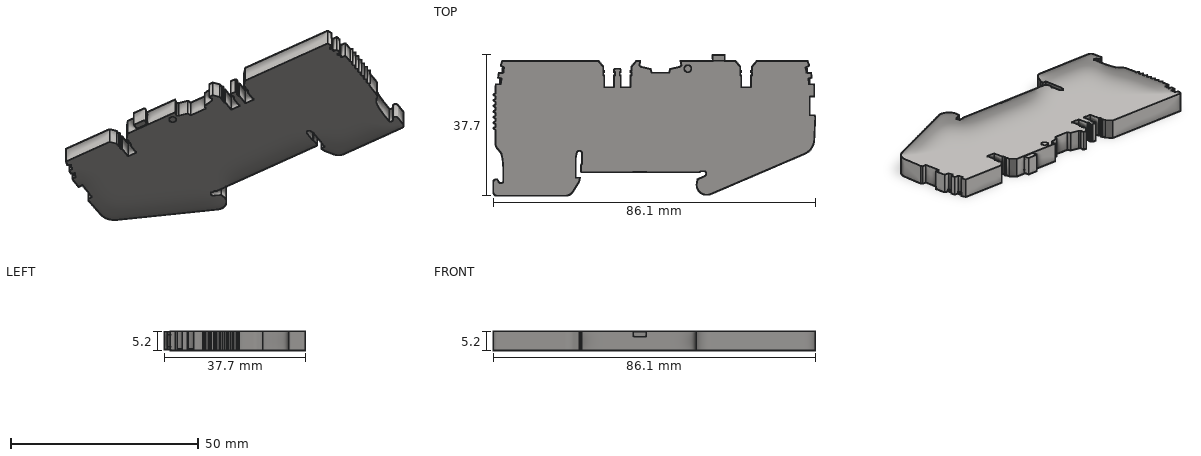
import cadquery as cq
import math


LENGTH = 86.1
THICKNESS = 5.2
TOTAL_WIDTH = 37.7
TOP_Y = 36.1

LEFT_WALL_X = 0.6
END_MIRROR_X = 43.2
RIGHT_WALL_X = 2 * END_MIRROR_X - LEFT_WALL_X
LEDGE_Y = 29.9
UPPER_LEDGE_Y = 32.9
LOWER_UNDERCUT_X = 2.1
UPPER_UNDERCUT_X = 2.75
WALL_BEVEL = 0.1
WALL_BEVEL_Y = 29.2
NUB_Y = 21.1
END_NOTCH_X = 84.6
END_NOTCH_BOTTOM_Y = 21.6
END_NOTCH_TOP_Y = 26.5

TOOTH_COUNT = 7
TOP_TOOTH_Y = 27.0
BOTTOM_TOOTH_Y = 18.1
TOOTH_PITCH = (TOP_TOOTH_Y - BOTTOM_TOOTH_Y) / (TOOTH_COUNT - 1)
TOOTH_HALF_HEIGHT = 0.4

SLOT_FLOOR_Y = 29.1
SLOT_WIDTH = 2.6
SLOT_LEFT_XS = (29.7, 34.1, 66.3)
POST_TOP_Y = 34.0
POST_CORNER = 0.3
SHOULDER_STEP = 0.3
SHOULDER_TOP_Y = 34.5
SHOULDER_BOTTOM_Y = 33.5
MOUTH_RUN = 1.8
SNAP_GROOVE_TOP_Y = 33.1
SNAP_GROOVE_BOTTOM_Y = 32.2

RECESS_CENTRE_X = 44.7
RECESS_FLOOR_Y = 33.0

CLIP_CORNER = 1.0
CLIP_TOP_Y = 4.5
CLIP_TOP_RADIUS = 0.8
WAIST_X = 2.7
TOE_START_X = 19.2
TOE_ARC_END = (21.4, 1.3)
TOE_TIP_X = 23.25
TOE_TOP_Y = 4.9
CLIP_SLOT_LEFT_X = 22.1
CLIP_SLOT_RIGHT_X = 23.7
CLIP_SLOT_END = (23.1, 12.05)
RAIL_Y = 6.3
HOOK_THROAT_START_X = 55.1
HOOK_THROAT_END_X = 56.6
HOOK_THROAT_Y = 6.55
HOOK_RADIUS = 2.75
HOOK_CENTRE = (57.1, 3.0)
RAMP_ANGLE = 23.2
RAMP_END_X = 83.2

LIP_HEIGHT = 0.5
LIP_DEPTH = 0.3
LIP_LENGTH = 1.1
LIP_CORNERS = ((UPPER_UNDERCUT_X, UPPER_LEDGE_Y), (LOWER_UNDERCUT_X, LEDGE_Y))

WINDOW_LEFT_X = 37.45
WINDOW_WIDTH = 3.45
WINDOW_HEIGHT = 1.4
WINDOW_DEPTH = 0.2
WINDOW_CORNER = 0.35
WINDOW_SKIN = 0.1

HANDLE_LEFT_X = 58.55
HANDLE_WIDTH = 3.4
HANDLE_BOTTOM_Z = 0.3
HANDLE_TOP_Z = 5.1
HANDLE_CORNER = 0.3
HANDLE_BOTTOM_Y = TOP_Y
RELIEF_DEPTH = 0.2
RELIEF_TOP_Y = 36.85
NECK_INSET = 0.1
NECK_LEFT_X = HANDLE_LEFT_X + NECK_INSET
NECK_RIGHT_X = HANDLE_LEFT_X + HANDLE_WIDTH - NECK_INSET
ARM_BOTTOM_Z = 1.0
ARM_TOP_Z = 4.2
PIVOT_X = 52.0
PIVOT_Y = 34.0
PIVOT_RADIUS = 0.95


def mirrored(points, axis_x):
    """Mirror a run of points about x = axis_x and reverse its direction."""
    return [(2 * axis_x - x, y) for x, y in reversed(points)]


def left_steps():
    """Stepped left end, from the upper edge down to the wall."""
    return [
        (2.4, TOP_Y), (2.0, 34.8), (2.9, 34.3), (UPPER_UNDERCUT_X, UPPER_LEDGE_Y),
        (1.5, UPPER_LEDGE_Y), (1.3, 31.6), (2.2, 31.3), (LOWER_UNDERCUT_X, LEDGE_Y),
        (LEFT_WALL_X + WALL_BEVEL, LEDGE_Y), (LEFT_WALL_X, WALL_BEVEL_Y),
    ]


def teeth():
    """Row of pointed teeth, from the top one down."""
    points = []
    for i in range(TOOTH_COUNT):
        y = TOP_TOOTH_Y - i * TOOTH_PITCH
        points += [(LEFT_WALL_X, y + TOOTH_HALF_HEIGHT), (0, y), (LEFT_WALL_X, y - TOOTH_HALF_HEIGHT)]
    return points


def snap_groove(wall_x):
    """Snap groove in the wall at the left of a slot, from the top down to the slot floor."""
    groove_x = wall_x - SHOULDER_STEP
    return [
        (wall_x, SNAP_GROOVE_TOP_Y), (groove_x, SNAP_GROOVE_TOP_Y),
        (groove_x, SNAP_GROOVE_BOTTOM_Y), (wall_x, SNAP_GROOVE_BOTTOM_Y), (wall_x, SLOT_FLOOR_Y),
    ]


def mouth(wall_x):
    """Chamfered mouth and snap groove left of a slot, from the upper edge to the slot floor."""
    shoulder_x = wall_x - SHOULDER_STEP
    return [
        (wall_x - MOUTH_RUN + SHOULDER_STEP, TOP_Y), (shoulder_x, SHOULDER_TOP_Y),
        (shoulder_x, SHOULDER_BOTTOM_Y), (wall_x, SHOULDER_BOTTOM_Y),
    ] + snap_groove(wall_x)


def post():
    """Post between the two close slots, from the left slot floor to the right slot floor."""
    left_x = SLOT_LEFT_XS[0] + SLOT_WIDTH
    right_x = SLOT_LEFT_XS[1]
    right_side = [
        (right_x - POST_CORNER, POST_TOP_Y), (right_x, POST_TOP_Y - POST_CORNER),
    ] + snap_groove(right_x)
    return mirrored(right_side, (left_x + right_x) / 2) + right_side


def marker_recess():
    """Undercut recess in the upper edge, from left to right."""
    left = [(39.35, TOP_Y), (39.1, 34.9), (39.5, 34.5), (42.1, 33.9), (42.4, RECESS_FLOOR_Y)]
    return left + mirrored(left, RECESS_CENTRE_X)


def upper_edge():
    """Upper edge from the left steps to the right steps."""
    first, second, third = SLOT_LEFT_XS
    return (
        mouth(first) + post() + mirrored(mouth(second), second + SLOT_WIDTH / 2)
        + marker_recess() + mouth(third) + mirrored(mouth(third), third + SLOT_WIDTH / 2)
    )


def add_clip_foot(outline):
    """Lower edge of the clip foot, its raised toe and the slot behind the toe."""
    outline = outline.lineTo(TOE_START_X, 0).tangentArcPoint(TOE_ARC_END, relative=False)
    outline = outline.lineTo(23.0, 3.8).lineTo(TOE_TIP_X, TOE_TOP_Y).lineTo(CLIP_SLOT_LEFT_X, TOE_TOP_Y)
    outline = outline.lineTo(CLIP_SLOT_LEFT_X, 10.3).lineTo(22.4, 11.5)
    outline = outline.threePointArc(CLIP_SLOT_END, (CLIP_SLOT_RIGHT_X, 11.5))
    outline = outline.lineTo(CLIP_SLOT_RIGHT_X, 8.6).lineTo(23.4, 8.3)
    return outline.lineTo(23.4, 6.55).lineTo(CLIP_SLOT_RIGHT_X, RAIL_Y)


def add_rail_hook(outline):
    """Rail edge, round-nosed hook and the ramp up to the right wall."""
    ramp = math.radians(RAMP_ANGLE)
    hook_x, hook_y = HOOK_CENTRE
    nose_angle = (math.radians(180) + math.radians(270) + ramp) / 2
    nose = (hook_x + HOOK_RADIUS * math.cos(nose_angle), hook_y + HOOK_RADIUS * math.sin(nose_angle))
    ramp_start = (hook_x + HOOK_RADIUS * math.sin(ramp), hook_y - HOOK_RADIUS * math.cos(ramp))
    ramp_end_y = ramp_start[1] + (RAMP_END_X - ramp_start[0]) * math.tan(ramp)

    outline = outline.lineTo(HOOK_THROAT_START_X, RAIL_Y).lineTo(55.45, HOOK_THROAT_Y)
    outline = outline.lineTo(HOOK_THROAT_END_X, HOOK_THROAT_Y)
    outline = outline.threePointArc((56.9, 6.0), (HOOK_THROAT_END_X, 5.3)).lineTo(54.6, 4.5)
    outline = outline.lineTo(hook_x - HOOK_RADIUS, hook_y).threePointArc(nose, ramp_start)
    outline = outline.lineTo(RAMP_END_X, ramp_end_y)

    corner_radius = (RIGHT_WALL_X - RAMP_END_X) / (1 - math.sin(ramp))
    corner_end = (RIGHT_WALL_X, ramp_end_y + corner_radius * math.cos(ramp))
    return outline.tangentArcPoint(corner_end, relative=False)


def add_right_notch(outline):
    """Small nub and the square notch in the right wall."""
    outline = outline.lineTo(LENGTH, NUB_Y).lineTo(RIGHT_WALL_X, END_NOTCH_BOTTOM_Y)
    outline = outline.lineTo(END_NOTCH_X, END_NOTCH_BOTTOM_Y).lineTo(END_NOTCH_X, END_NOTCH_TOP_Y)
    return outline.lineTo(RIGHT_WALL_X, END_NOTCH_TOP_Y)


def add_left_clip(outline):
    """Left wall below the teeth, the waist above the clip foot and the small upturned hook."""
    outline = outline.lineTo(LEFT_WALL_X, 14.1).threePointArc((0.8, 13.2), (1.2, 12.6)).lineTo(2.15, 11.4)
    outline = outline.threePointArc((2.4, 10.2), (2.6, 8.8)).lineTo(WAIST_X, 7.3).lineTo(WAIST_X, 3.8)
    outline = outline.threePointArc((2.1, 3.45), (1.4, 4.05)).lineTo(1.0, CLIP_TOP_Y)
    outline = outline.lineTo(CLIP_TOP_RADIUS, CLIP_TOP_Y)
    outline = outline.tangentArcPoint((0, CLIP_TOP_Y - CLIP_TOP_RADIUS), relative=False)
    outline = outline.lineTo(0, CLIP_CORNER)
    return outline.tangentArcPoint((CLIP_CORNER, 0), relative=False)


def housing_outline():
    """Closed outline, counter-clockwise from the lower left corner."""
    outline = cq.Workplane("XY").moveTo(CLIP_CORNER, 0)
    outline = add_clip_foot(outline)
    outline = add_rail_hook(outline)
    outline = add_right_notch(outline)
    right_steps = mirrored(left_steps(), END_MIRROR_X)
    for point in right_steps + upper_edge()[::-1] + left_steps() + teeth():
        outline = outline.lineTo(*point)
    return add_left_clip(outline).close()


def undercut_lips():
    """Thin lips along the lower face in both undercuts of each stepped end."""
    lips = cq.Workplane("XY")
    for wall_x, ledge_y in LIP_CORNERS:
        for corner_x in (wall_x - LIP_DEPTH, 2 * END_MIRROR_X - wall_x - LIP_DEPTH):
            lips = lips.union(
                cq.Workplane("XY").box(2 * LIP_DEPTH, LIP_LENGTH, LIP_HEIGHT, centered=False)
                .translate((corner_x, ledge_y, 0))
            )
    return lips


def rail_window():
    """Shallow recess in the rail edge, rounded at its lower corners."""
    return (
        cq.Workplane("XY").box(WINDOW_WIDTH, WINDOW_DEPTH, WINDOW_HEIGHT, centered=False)
        .translate((WINDOW_LEFT_X, RAIL_Y, THICKNESS - WINDOW_SKIN - WINDOW_HEIGHT))
        .edges("|Y and <Z").fillet(WINDOW_CORNER)
    )


def build_lever():
    """Lever inside the housing: round pivot, flat arm and a handle outside the upper edge."""
    arm_height = ARM_TOP_Z - ARM_BOTTOM_Z
    arm = (
        cq.Workplane("XY").workplane(offset=ARM_BOTTOM_Z)
        .moveTo(PIVOT_X, PIVOT_Y - PIVOT_RADIUS)
        .lineTo(NECK_RIGHT_X, PIVOT_Y - PIVOT_RADIUS).lineTo(NECK_RIGHT_X, RELIEF_TOP_Y)
        .lineTo(NECK_LEFT_X, RELIEF_TOP_Y).lineTo(NECK_LEFT_X, PIVOT_Y + PIVOT_RADIUS)
        .lineTo(PIVOT_X, PIVOT_Y + PIVOT_RADIUS)
        .threePointArc((PIVOT_X - PIVOT_RADIUS, PIVOT_Y), (PIVOT_X, PIVOT_Y - PIVOT_RADIUS))
        .close().extrude(arm_height)
    )
    pivot = (
        cq.Workplane("XY").workplane(offset=HANDLE_BOTTOM_Z).center(PIVOT_X, PIVOT_Y)
        .circle(PIVOT_RADIUS).extrude(HANDLE_TOP_Z - HANDLE_BOTTOM_Z)
    )
    handle = (
        cq.Workplane("XY")
        .box(HANDLE_WIDTH, TOTAL_WIDTH - HANDLE_BOTTOM_Y, HANDLE_TOP_Z - HANDLE_BOTTOM_Z, centered=False)
        .translate((HANDLE_LEFT_X, HANDLE_BOTTOM_Y, HANDLE_BOTTOM_Z))
        .edges("|Z and <X and >Y").fillet(HANDLE_CORNER)
    )
    relief = (
        cq.Workplane("XY").box(RELIEF_DEPTH, RELIEF_TOP_Y - HANDLE_BOTTOM_Y, THICKNESS, centered=False)
        .translate((HANDLE_LEFT_X, HANDLE_BOTTOM_Y, 0))
    )
    handle = handle.cut(relief)
    return arm.union(pivot).union(handle)


def build_housing(lever):
    """Housing plate with a matching hollow for the lever."""
    plate = housing_outline().extrude(THICKNESS)
    return plate.union(undercut_lips()).cut(rail_window()).cut(lever)


lever = build_lever()
housing = build_housing(lever)
result = cq.Compound.makeCompound([housing.solids().val(), lever.solids().val()])